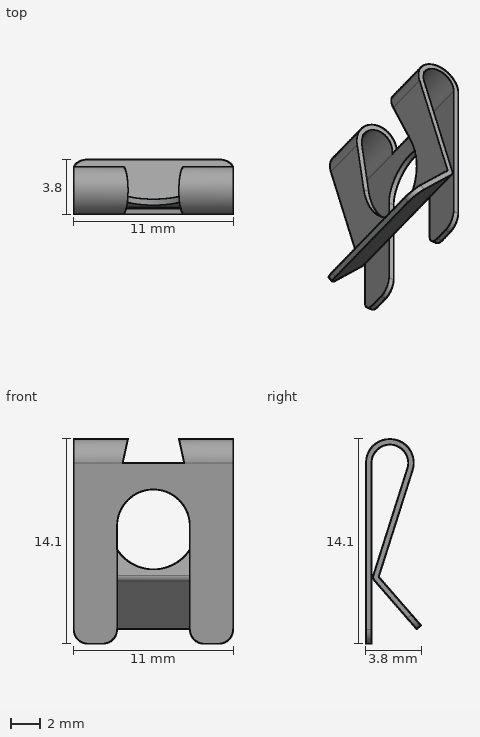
import cadquery as cq
import math

width = 11.0
depth = 3.8
height = 14.12
thickness = 0.4

bend_radius = 1.65
bend_inner_radius = bend_radius - thickness
bend_center = (bend_radius, height - bend_radius)

kink = (0.89, 4.62)
kick_angle = math.radians(41)
corner_radius = 1.0

slot_width = 5.0
hole_radius = 3.0
opening_z = 8.13
notch_half_top = 1.75

notch_drop = height - opening_z
flare_angle = (
    math.asin(hole_radius / math.hypot(notch_half_top, notch_drop))
    - math.atan2(notch_half_top, notch_drop)
)
tangent_z = opening_z + hole_radius * math.sin(flare_angle)


def offset(point, direction, distance):
    """Move a (Y, Z) point a distance along a unit direction."""
    return (point[0] + distance * direction[0], point[1] + distance * direction[1])


def clip_strip():
    """Bent strip of constant thickness, extruded across the full width."""
    rise_y = bend_center[0] - kink[0]
    rise_z = bend_center[1] - kink[1]
    tangent_angle = math.asin(bend_radius / math.hypot(rise_y, rise_z))
    lean_angle = math.atan2(rise_y, rise_z) + tangent_angle
    lean_back = (math.cos(lean_angle), -math.sin(lean_angle))
    lean_front = (-lean_back[0], -lean_back[1])

    kick_down = (math.sin(kick_angle), -math.cos(kick_angle))
    kick_front = (-math.cos(kick_angle), -math.sin(kick_angle))
    kick_length = (depth - kink[0]) / math.sin(kick_angle)
    tip_back = offset(kink, kick_down, kick_length)

    bend_top = (bend_center[0], height)
    bend_inner_top = (bend_center[0], height - thickness)
    kink_front = offset(kink, (-1, 0), thickness)

    profile = (
        cq.Workplane("YZ", origin=(-width / 2, 0, 0))
        .moveTo(0, 0)
        .lineTo(0, bend_center[1])
        .threePointArc(bend_top, offset(bend_center, lean_back, bend_radius))
        .lineTo(*kink)
        .lineTo(*tip_back)
        .lineTo(*offset(tip_back, kick_front, thickness))
        .lineTo(*offset(kink, kick_front, thickness))
        .threePointArc(kink_front, offset(kink, lean_front, thickness))
        .lineTo(*offset(bend_center, lean_back, bend_inner_radius))
        .threePointArc(bend_inner_top, (thickness, bend_center[1]))
        .lineTo(thickness, 0)
        .close()
    )
    return profile.extrude(width)


def plate_slot():
    """Round-topped slot through the front plate, open at the feet."""
    shaft = cq.Workplane("XY").box(slot_width, thickness, opening_z, centered=(True, False, False))
    crown = (
        cq.Workplane("XZ", origin=(0, 0, opening_z))
        .circle(slot_width / 2)
        .extrude(-thickness)
    )
    return shaft.union(crown)


def leg_hole():
    """Round hole along Y through the spring leg only."""
    return (
        cq.Workplane("XZ", origin=(0, thickness, opening_z))
        .circle(hole_radius)
        .extrude(thickness - depth)
    )


def notch(bottom_z, start_y, end_y):
    """Notch from the top of the bend, its flared sides tangent to the leg hole."""
    half_bottom = notch_half_top + (height - bottom_z) * math.tan(flare_angle)
    return (
        cq.Workplane("XZ", origin=(0, start_y, 0))
        .moveTo(-half_bottom, bottom_z)
        .lineTo(half_bottom, bottom_z)
        .lineTo(notch_half_top, height)
        .lineTo(-notch_half_top, height)
        .close()
        .extrude(start_y - end_y)
    )


clip = clip_strip().cut(plate_slot()).cut(leg_hole())

clip = clip.cut(notch(bend_center[1], 0, depth))
clip = clip.cut(notch(tangent_z, thickness, depth))

clip = clip.faces("<Z").edges("|Y").fillet(corner_radius)

tip_region = cq.selectors.BoxSelector(
    (-width, depth - thickness, 0),
    (width, depth + thickness, kink[1]),
)
result = clip.edges(tip_region).edges("<X or >X").fillet(corner_radius)